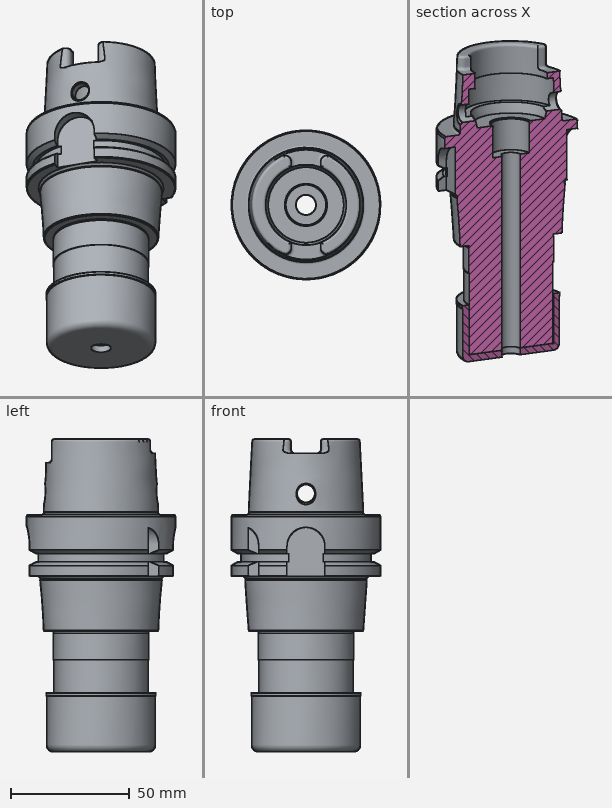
import cadquery as cq
import math


shank_length = 32.0
gauge_diameter = 48.01
gauge_height = 6.3
taper_slope = 1 / 20
relief_top = 1.4
relief_bottom = 0.9
relief_radius = 48.13 / 2
relief_outer_radius = 25.2
rim_fillet = 1.2

flange_radius = 63.0 / 2
flange_thickness = 26.0
flange_chamfer_width = 0.4
flange_chamfer_height = 0.8
flange_bottom_chamfer = 0.4
groove_center = -18.1
groove_radius = 55.0 / 2
groove_floor_half_width = 1.75
groove_mouth_half_width = 3.3
groove_flank_angle = 30.0
groove_lip_radius = flange_radius - (
    groove_mouth_half_width - groove_floor_half_width) / math.tan(math.radians(groove_flank_angle))

cone_top = -27.6
cone_bottom = -49.2
cone_top_radius = 25.75
cone_bottom_radius = 24.25
cone_chamfer = 0.5
cone_relief_radius = 25.4
cone_relief_height = 0.6
cone_root_radius = 26.4
neck_radius = 40.5 / 2
neck_relief_depth = 0.3
neck_relief_height = 0.8
neck_bottom = -61.2
stem_radius = 40.0 / 2

nut_top = -75.0
nut_bottom = -100.0
nut_radius = 46.0 / 2
nut_bore_radius = 40.05 / 2
nut_corner_radius = 3.0
nut_end_wall = 3.0
collar_radius = 46.4 / 2
collar_height = 1.3
collar_chamfer = 0.2
stem_bottom = nut_bottom + nut_end_wall

mouth_radius = 34.0 / 2
clamp_groove_radius = 40.0 / 2
clamp_groove_top = 19.2
clamp_groove_bottom = 6.5
bore_floor = 2.0
floor_radius = 15.9
coolant_radius = 8.4 / 2
thread_radius = 16.92 / 2
thread_chamfer = 0.5
thread_depth = 14.0

notch_half_width = 12.5 / 2
notch_floor_fillet = 1.5
notch_flare_start = 18.3
notch_flare_radius = 2.5
notch_inner_reach = 10.0
notch_outer_reach = 26.0
notch_flare_reach = 12.0
front_notch_depth = 6.0
back_notch_depth = 10.0

cross_hole_radius = 7.5 / 2
cross_hole_height = 9.0
cross_hole_countersink = 0.7

slot_floor_distance = 26.5
front_slot_half_width = 8.0
back_slot_half_width = 9.0
slot_arch_center = -13.3
corner_offset = 20.0
corner_arch_radius = 8.0
corner_arch_center = -12.5

clear = 10.0


def shank_radius(height):
    """Radius of the taper at a height above the gauge face."""
    return gauge_diameter / 2 - taper_slope * (height - gauge_height)


def revolve_profile(profile):
    """Turn a closed (radius, height) outline about the Z axis."""
    return profile.close().revolve(360, (0, 0, 0), (0, 1, 0))


def make_turned_body():
    neck_relief_radius = neck_radius - neck_relief_depth
    profile = (
        cq.Workplane("XZ")
        .moveTo(0, shank_length)
        .lineTo(shank_radius(shank_length), shank_length)
        .lineTo(shank_radius(relief_top), relief_top)
        .lineTo(relief_radius, relief_bottom)
        .radiusArc((relief_outer_radius, 0), -(relief_outer_radius - relief_radius))
        .lineTo(flange_radius - flange_chamfer_width, 0)
        .lineTo(flange_radius, -flange_chamfer_height)
        .lineTo(flange_radius, groove_center + groove_mouth_half_width)
        .lineTo(groove_lip_radius, groove_center + groove_floor_half_width)
        .lineTo(groove_radius, groove_center + groove_floor_half_width)
        .lineTo(groove_radius, groove_center - groove_floor_half_width)
        .lineTo(groove_lip_radius, groove_center - groove_floor_half_width)
        .lineTo(flange_radius, groove_center - groove_mouth_half_width)
        .lineTo(flange_radius, -flange_thickness + flange_bottom_chamfer)
        .lineTo(flange_radius - flange_bottom_chamfer, -flange_thickness)
        .lineTo(cone_root_radius, -flange_thickness)
        .lineTo(cone_relief_radius, cone_top + cone_relief_height)
        .lineTo(cone_top_radius, cone_top)
        .lineTo(cone_bottom_radius, cone_bottom + cone_chamfer)
        .lineTo(cone_bottom_radius - cone_chamfer, cone_bottom)
        .lineTo(neck_relief_radius, cone_bottom)
        .lineTo(neck_radius, cone_bottom - neck_relief_height)
        .lineTo(neck_radius, neck_bottom)
        .lineTo(stem_radius, neck_bottom)
        .lineTo(stem_radius, stem_bottom)
        .lineTo(0, stem_bottom)
    )
    return revolve_profile(profile)


def make_bore():
    """Clamping bore with its internal groove, thread recess and coolant hole."""
    profile = (
        cq.Workplane("XZ")
        .moveTo(0, shank_length)
        .lineTo(mouth_radius, shank_length)
        .lineTo(mouth_radius, clamp_groove_top)
        .lineTo(clamp_groove_radius, clamp_groove_top)
        .lineTo(clamp_groove_radius, clamp_groove_bottom)
        .lineTo(mouth_radius, clamp_groove_bottom)
        .lineTo(floor_radius, bore_floor)
        .lineTo(thread_radius + thread_chamfer, bore_floor)
        .lineTo(thread_radius, bore_floor - thread_chamfer)
        .lineTo(thread_radius, bore_floor - thread_depth)
        .lineTo(coolant_radius, bore_floor - thread_depth)
        .lineTo(coolant_radius, stem_bottom)
        .lineTo(0, stem_bottom)
    )
    return revolve_profile(profile)


def make_rim_notch(depth, side):
    """Cutter for a flared notch in the rim; side is +1 for +Y and -1 for -Y."""
    flare_x = notch_half_width + notch_flare_radius
    flare_y = notch_flare_start + notch_flare_radius
    middle_x = flare_x - notch_flare_radius * math.cos(math.radians(45))
    middle_y = notch_flare_start + notch_flare_radius * math.sin(math.radians(45))
    cutter = (
        cq.Workplane("XY", origin=(0, 0, shank_length - depth))
        .moveTo(-notch_half_width, side * notch_inner_reach)
        .lineTo(notch_half_width, side * notch_inner_reach)
        .lineTo(notch_half_width, side * notch_flare_start)
        .threePointArc((middle_x, side * middle_y), (flare_x, side * flare_y))
        .lineTo(notch_flare_reach, side * flare_y)
        .lineTo(notch_flare_reach, side * notch_outer_reach)
        .lineTo(-notch_flare_reach, side * notch_outer_reach)
        .lineTo(-notch_flare_reach, side * flare_y)
        .lineTo(-flare_x, side * flare_y)
        .threePointArc((-middle_x, side * middle_y), (-notch_half_width, side * notch_flare_start))
        .close()
        .extrude(depth + clear)
    )
    return cutter.faces("<Z").edges().fillet(notch_floor_fillet)


def make_cross_hole(side):
    """Radial hole through the shank wall with a countersunk mouth."""
    mouth_distance = shank_radius(cross_hole_height)
    start = cq.Vector(0, 0, cross_hole_height)
    outward = cq.Vector(0, side, 0)
    hole = cq.Solid.makeCylinder(cross_hole_radius, flange_radius, start, outward)
    cone_length = 2 * cross_hole_countersink
    cone_start = start + outward * (mouth_distance - cross_hole_countersink)
    countersink = cq.Solid.makeCone(
        cross_hole_radius, cross_hole_radius + cone_length, cone_length, cone_start, outward)
    return hole.fuse(countersink)


def make_flange_slot(half_width, side):
    """Round-topped slot with a flat floor, open at the flange underside."""
    plane = cq.Plane((0, side * slot_floor_distance, 0), (1, 0, 0), (0, side, 0))
    up = -side
    return (
        cq.Workplane(plane)
        .moveTo(-half_width, -up * flange_thickness)
        .lineTo(-half_width, up * slot_arch_center)
        .threePointArc((0, up * (slot_arch_center + half_width)), (half_width, up * slot_arch_center))
        .lineTo(half_width, -up * flange_thickness)
        .close()
        .extrude(clear)
    )


def make_corner_notch():
    """Cutter for the L-shaped notch at the (-X, -Y) side, with a rounded upper end."""
    arch_x = -corner_offset - corner_arch_radius
    return (
        cq.Workplane("XZ", origin=(0, -corner_offset, 0))
        .moveTo(-corner_offset, -flange_thickness)
        .lineTo(-corner_offset, corner_arch_center)
        .radiusArc((arch_x, corner_arch_center + corner_arch_radius), -corner_arch_radius)
        .lineTo(arch_x, -flange_thickness)
        .close()
        .extrude(2 * clear)
    )


def make_holder():
    holder = make_turned_body().cut(make_bore())
    holder = holder.cut(make_rim_notch(front_notch_depth, -1))
    holder = holder.cut(make_rim_notch(back_notch_depth, 1))
    holder = holder.faces(">Z").edges().fillet(rim_fillet)
    for side in (-1, 1):
        holder = holder.cut(cq.Workplane(make_cross_hole(side)))
    holder = holder.cut(make_flange_slot(front_slot_half_width, -1))
    holder = holder.cut(make_flange_slot(back_slot_half_width, 1))
    return holder.cut(make_corner_notch())


def make_nut():
    """Cap nut around the stem, with a slightly raised collar at its upper edge."""
    collar_bottom = nut_top - collar_height
    profile = (
        cq.Workplane("XZ")
        .moveTo(nut_bore_radius, nut_top)
        .lineTo(collar_radius - collar_chamfer, nut_top)
        .lineTo(collar_radius, nut_top - collar_chamfer)
        .lineTo(collar_radius, collar_bottom)
        .lineTo(nut_radius, collar_bottom - collar_chamfer)
        .lineTo(nut_radius, nut_bottom + nut_corner_radius)
        .radiusArc((nut_radius - nut_corner_radius, nut_bottom), nut_corner_radius)
        .lineTo(coolant_radius, nut_bottom)
        .lineTo(coolant_radius, stem_bottom)
        .lineTo(nut_bore_radius, stem_bottom)
    )
    return revolve_profile(profile)


holder = make_holder()
nut = make_nut()
result = cq.Compound.makeCompound([holder.val(), nut.val()])